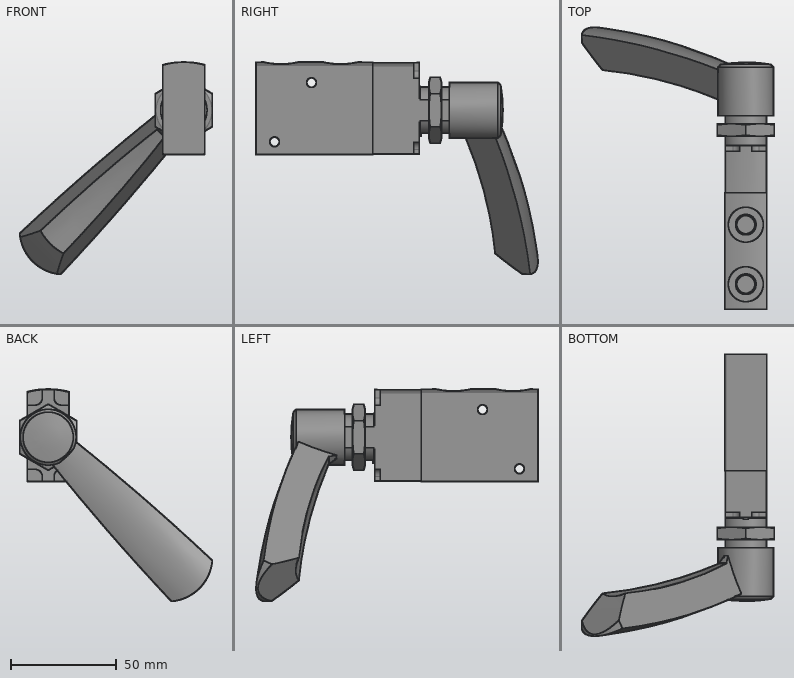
import cadquery as cq
import math


body_width = 20.0
body_length = 55.1
body_bottom = -20.9
body_crest = 22.8
crown_rise = 1.3
edge_fillet = 0.4

port_positions = (11.8, 40.0)
port_seat_diameter = 16.5
port_seat_depth = 1.0
port_bore_diameter = 8.5
port_mouth_diameter = 9.7
port_mouth_angle = 45.0
port_depth = 10.6

mount_diameter = 4.4
mount_positions = ((8.8, -14.9), (26.2, 13.0))

bonnet_inset = 0.2
bonnet_end = 77.1
bonnet_width = body_width - 2 * bonnet_inset
notch_depth = 2.5
notch_x = 2.8
notch_z = 15.2
notch_corner_radius = 3.3

neck_diameter = 22.0
collar_diameter = 22.6
collar_height = 0.4
pin_diameter = 2.4
pin_height = 0.9
pin_z = -11.0

nut_flats = 27.0
hexagon_half_sector = 30.0
nut_start = 81.6
nut_height = 6.0
nut_chamfer_diameter = 26.4
nut_chamfer_angle = 15.0

hub_diameter = 26.4
hub_start = 91.3
hub_rim = 114.2
hub_chamfer = 1.3
dome_rise = 1.0

arm_root = (15.3, 98.9)
arm_heel = (87.7, 114.2)
arm_inner_radius = 286.2
arm_groove_radius = 21.3
arm_crest_root = (12.1, 114.6)
arm_crest_tip = (100.6, 133.1)
arm_outer_radius = 379.4
arm_crown_radius = 30.6
arm_apex_y = 91.9
arm_draft = 20.0
arm_clearance = 2.7
heel_start = (86.4, 110.9)
heel_mid = (94.5, 121.8)
tip_edge_y = 132.2
tip_reach = 100.9
tip_radius = 21.3
root_ramp_slope = 1.6
root_allowance = 0.4

side_plane = cq.Plane(origin=(0, 0, 0), xDir=(-1, 0, -1), normal=(1, 0, -1))


def crowned_block(width, bottom, crest, rise, start, end):
    """A block along Y with an arched top and softened long edges."""
    half = width / 2
    block = (
        cq.Workplane("XZ", origin=(0, start, 0))
        .moveTo(-half, bottom)
        .lineTo(half, bottom)
        .lineTo(half, crest - rise)
        .threePointArc((0, crest), (-half, crest - rise))
        .close()
        .extrude(start - end)
    )
    return block.edges("|Y").fillet(edge_fillet)


def y_cylinder(diameter, start, end, x=0.0, z=0.0):
    """A cylinder along Y."""
    return cq.Workplane("XZ", origin=(x, start, z)).circle(diameter / 2).extrude(start - end)


def make_valve_body():
    body = crowned_block(body_width, body_bottom, body_crest, crown_rise, 0, body_length)
    seat_z = body_crest - port_seat_depth
    mouth_chamfer = (port_mouth_diameter - port_bore_diameter) / 2
    for y in port_positions:
        seat = cq.Workplane("XY", origin=(0, y, seat_z)).circle(port_seat_diameter / 2)
        bore = cq.Workplane("XY", origin=(0, y, seat_z)).circle(port_bore_diameter / 2)
        mouth = cq.Workplane("XY", origin=(0, y, seat_z)).circle(port_mouth_diameter / 2)
        body = body.cut(seat.extrude(port_seat_depth))
        body = body.cut(bore.extrude(-port_depth))
        body = body.cut(mouth.extrude(-mouth_chamfer, taper=port_mouth_angle))
    mounts = (
        cq.Workplane("YZ")
        .pushPoints(mount_positions)
        .circle(mount_diameter / 2)
        .extrude(body_width, both=True)
    )
    return body.cut(mounts)


def corner_notch(x_side, z_side):
    """The space removed at one corner of the bonnet's end face, with a rounded inner corner."""
    size_x = body_width
    size_z = body_crest
    center = (
        x_side * (notch_x + size_x / 2),
        bonnet_end - notch_depth / 2,
        z_side * (notch_z + size_z / 2),
    )
    notch = cq.Workplane("XY").box(size_x, notch_depth, size_z).edges("|Y").fillet(notch_corner_radius)
    return notch.translate(center)


def make_bonnet():
    block = crowned_block(
        bonnet_width,
        body_bottom + bonnet_inset,
        body_crest - bonnet_inset,
        crown_rise,
        body_length,
        bonnet_end,
    )
    for x_side in (-1, 1):
        for z_side in (-1, 1):
            block = block.cut(corner_notch(x_side, z_side))
    neck = y_cylinder(neck_diameter, bonnet_end, hub_start)
    neck = neck.union(y_cylinder(collar_diameter, bonnet_end, bonnet_end + collar_height))
    neck = neck.union(y_cylinder(pin_diameter, bonnet_end, bonnet_end + pin_height, 0, pin_z))
    flats = cq.Workplane("XY").box(bonnet_width, 2 * hub_start, 2 * neck_diameter)
    return block.union(neck.intersect(flats))


def make_nut():
    nut_corners = nut_flats / math.cos(math.radians(hexagon_half_sector))
    corner_radius = nut_corners / 2
    face_radius = nut_chamfer_diameter / 2
    drop = (corner_radius - face_radius) * math.tan(math.radians(nut_chamfer_angle))
    nut_end = nut_start + nut_height
    hexagon = (
        cq.Workplane("XZ", origin=(0, nut_start, 0))
        .transformed(rotate=(0, 0, hexagon_half_sector))
        .polygon(6, nut_corners)
        .extrude(-nut_height)
    )
    envelope = (
        cq.Workplane("XY")
        .moveTo(0, nut_start)
        .lineTo(face_radius, nut_start)
        .lineTo(corner_radius, nut_start + drop)
        .lineTo(corner_radius, nut_end - drop)
        .lineTo(face_radius, nut_end)
        .lineTo(0, nut_end)
        .close()
        .revolve(360, (0, 0, 0), (0, 1, 0))
    )
    return hexagon.intersect(envelope).cut(y_cylinder(neck_diameter, nut_start, nut_end))


def make_hub():
    radius = hub_diameter / 2
    dome_base = hub_rim + hub_chamfer
    dome_radius = radius - hub_chamfer
    sphere_radius = (dome_radius**2 + dome_rise**2) / (2 * dome_rise)
    mid_radius = dome_radius / 2
    mid_drop = sphere_radius - math.sqrt(sphere_radius**2 - mid_radius**2)
    return (
        cq.Workplane("XY")
        .moveTo(0, hub_start)
        .lineTo(radius, hub_start)
        .lineTo(radius, hub_rim)
        .lineTo(dome_radius, dome_base)
        .threePointArc((mid_radius, dome_base + dome_rise - mid_drop), (0, dome_base + dome_rise))
        .close()
        .revolve(360, (0, 0, 0), (0, 1, 0))
    )


def arc_centre(start, end, radius):
    """Centre, on the -Y side, of an arc between two points."""
    run = end[0] - start[0]
    rise = end[1] - start[1]
    chord = math.hypot(run, rise)
    offset = math.sqrt(radius**2 - (chord / 2) ** 2)
    mid_x = (start[0] + end[0]) / 2
    mid_y = (start[1] + end[1]) / 2
    return (mid_x + offset * rise / chord, mid_y - offset * run / chord)


def arched_disc(centre, radius, arch_radius, half_width):
    """A disc about an axis square to the arm's side, with its rim arched across the arm."""
    rim_drop = arch_radius - math.sqrt(arch_radius**2 - half_width**2)
    section = cq.Plane(origin=side_plane.toWorldCoords(centre), xDir=(1, 0, -1), normal=(1, 0, 1))
    return (
        cq.Workplane(section)
        .moveTo(-half_width, 0)
        .lineTo(half_width, 0)
        .lineTo(half_width, radius - rim_drop)
        .threePointArc((0, radius), (-half_width, radius - rim_drop))
        .close()
        .revolve(360, (0, 0), (1, 0))
    )


def make_arm():
    plan_plane = cq.Plane(origin=(0, 0, 0), xDir=(-1, 0, -1), normal=(0, 1, 0))
    section_plane = cq.Plane(origin=(0, 0, 0), xDir=(1, 0, -1), normal=(1, 0, 1))
    top_y = arm_crest_tip[1] + arm_clearance
    half_width = (top_y - arm_apex_y) * math.tan(math.radians(arm_draft))

    outline = (
        cq.Workplane(side_plane)
        .moveTo(0, arm_root[1] - root_ramp_slope * arm_root[0])
        .lineTo(arm_root[0], arm_root[1] - root_allowance)
        .lineTo(*heel_start)
        .threePointArc(heel_mid, (tip_reach, tip_edge_y))
        .lineTo(tip_reach, top_y)
        .lineTo(0, top_y)
        .close()
        .extrude(half_width, both=True)
    )

    flare = (
        cq.Workplane(section_plane)
        .polyline([(0, arm_apex_y), (half_width, top_y), (-half_width, top_y)])
        .close()
        .extrude(-tip_reach)
    )

    crest_centre = arc_centre(arm_crest_root, arm_crest_tip, arm_outer_radius)
    crown = arched_disc(crest_centre, arm_outer_radius, arm_crown_radius, half_width)
    inner_centre = arc_centre(arm_root, arm_heel, arm_inner_radius)
    groove = arched_disc(inner_centre, arm_inner_radius, arm_groove_radius, half_width)
    root_gap = cq.Workplane(side_plane).rect(2 * arm_root[0], 4 * top_y).extrude(half_width, both=True)
    groove = groove.cut(root_gap)

    tip = (
        cq.Workplane(plan_plane)
        .moveTo(0, -tip_radius)
        .lineTo(tip_reach - tip_radius, -tip_radius)
        .threePointArc((tip_reach, 0), (tip_reach - tip_radius, tip_radius))
        .lineTo(0, tip_radius)
        .close()
        .extrude(top_y)
    )
    return outline.intersect(flare).intersect(crown).intersect(tip).cut(groove)


valve_body = make_valve_body()
bonnet = make_bonnet()
nut = make_nut()
handle = make_hub().union(make_arm())

result = cq.Compound.makeCompound([valve_body.val(), bonnet.val(), nut.val(), handle.val()])